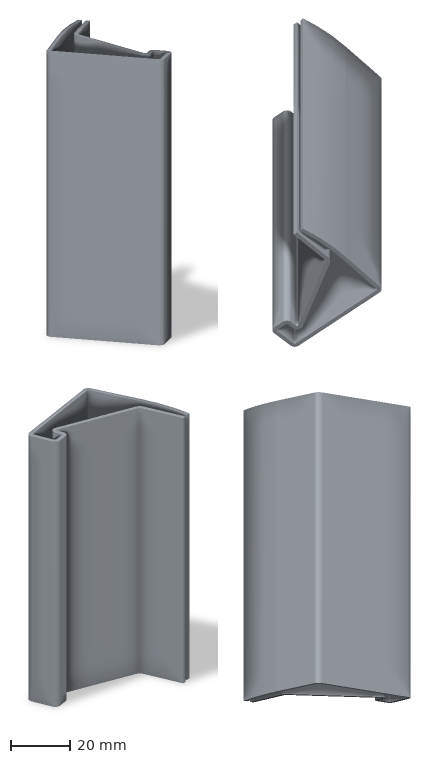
import cadquery as cq
import math

width = 42.7
depth = 40.0
height = 100.0
thickness = 1.5
half = thickness / 2

tight_inner_radius = 0.5
knee_inner_radius = 1.5

wall_radius = 70.0
wall_lean = math.radians(4)
arc_apex_y = 25.5

lip_top = 12.0
lip_wall_x = 35.6
valley_y = 5.5
web_slope = math.radians(30)
knee_x = 5.5
flange_lean = math.radians(1.6)


def arc_point(radius, angle):
    """Point on the wall arc; the angle is measured from the -X direction, positive towards +Y."""
    return (wall_radius - radius * math.cos(angle), arc_apex_y + radius * math.sin(angle))


def curved_wall():
    """Arc-shaped upper wall, with its free end square to the sheet and its outer tip at full depth."""
    inner_radius = wall_radius - thickness
    end_angle = math.asin((depth - arc_apex_y) / wall_radius)
    return (
        cq.Workplane("XY")
        .moveTo(*arc_point(wall_radius, -wall_lean))
        .threePointArc(arc_point(wall_radius, 0), arc_point(wall_radius, end_angle))
        .lineTo(*arc_point(inner_radius, end_angle))
        .threePointArc(arc_point(inner_radius, 0), arc_point(inner_radius, -wall_lean))
        .close()
        .extrude(height)
    )


def mid_sheet_corners():
    """Sharp corners of the sheet's mid-line, from the wall arc round to the flange tip.

    The knee is the last corner before the tip.
    """
    wall_start = arc_point(wall_radius - half, -wall_lean)
    floor_y = half
    wall_foot_x = wall_start[0] + (wall_start[1] - floor_y) * math.tan(wall_lean)
    right_x = width - half
    lip_y = lip_top - half
    knee_y = valley_y + (lip_wall_x - knee_x) * math.tan(web_slope)
    tip_y = depth - half * math.sin(flange_lean)
    tip_x = knee_x - (tip_y - knee_y) * math.tan(flange_lean)
    return [
        wall_start,
        (wall_foot_x, floor_y),
        (right_x, floor_y),
        (right_x, lip_y),
        (lip_wall_x, lip_y),
        (lip_wall_x, valley_y),
        (knee_x, knee_y),
        (tip_x, tip_y),
    ]


def direction(start, end):
    length = math.dist(start, end)
    return cq.Vector((end[0] - start[0]) / length, (end[1] - start[1]) / length)


def left_normal(along):
    return cq.Vector(-along.y, along.x)


def sheet_face(corners, offset):
    """One sheet face, offset left of the mid-line: its end points and its bends (start, middle, end)."""
    bends = []
    tight_bends = len(corners) - 3
    inner_radii = [tight_inner_radius] * tight_bends + [knee_inner_radius]
    for before, corner, after, inner_radius in zip(corners, corners[1:], corners[2:], inner_radii):
        bend_radius = inner_radius + half
        incoming = direction(before, corner)
        outgoing = direction(corner, after)
        turn = math.atan2(incoming.cross(outgoing).z, incoming.dot(outgoing))
        side = math.copysign(1, turn)
        setback = bend_radius * math.tan(abs(turn) / 2)
        center = cq.Vector(*corner) - incoming * setback + left_normal(incoming) * (side * bend_radius)
        spoke = offset - side * bend_radius
        normals = [left_normal(incoming), left_normal(incoming + outgoing).normalized(), left_normal(outgoing)]
        bends.append([center + normal * spoke for normal in normals])
    first_normal = left_normal(direction(corners[0], corners[1]))
    last_normal = left_normal(direction(corners[-2], corners[-1]))
    start = cq.Vector(*corners[0]) + first_normal * offset
    end = cq.Vector(*corners[-1]) + last_normal * offset
    return start, bends, end


def folded_sheet():
    """Constant-thickness strip following the mid-line through all the bends."""
    corners = mid_sheet_corners()
    left_start, left_bends, left_end = sheet_face(corners, half)
    right_start, right_bends, right_end = sheet_face(corners, -half)
    outline = cq.Workplane("XY").moveTo(left_start.x, left_start.y)
    for bend_start, middle, bend_end in left_bends:
        outline = outline.lineTo(*bend_start.toTuple()[:2])
        outline = outline.threePointArc(middle.toTuple()[:2], bend_end.toTuple()[:2])
    outline = outline.lineTo(left_end.x, left_end.y).lineTo(right_end.x, right_end.y)
    for bend_start, middle, bend_end in reversed(right_bends):
        outline = outline.lineTo(*bend_end.toTuple()[:2])
        outline = outline.threePointArc(middle.toTuple()[:2], bend_start.toTuple()[:2])
    return outline.lineTo(right_start.x, right_start.y).close().extrude(height)


result = folded_sheet().union(curved_wall())